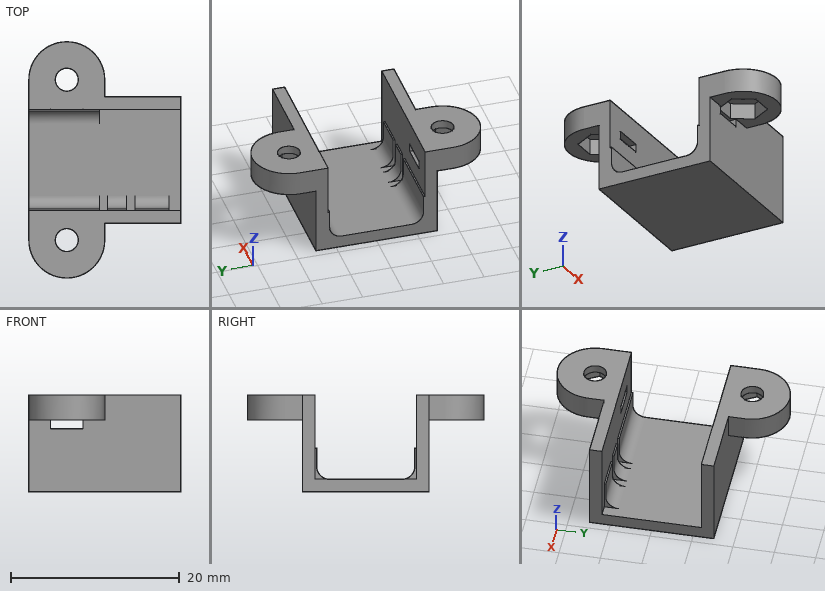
import cadquery as cq
import math

length = 18.0
overall_width = 28.0
height = 11.5
body_width = 15.0
wall = 1.5
floor = 1.5
inner_half = body_width / 2 - wall

ear_width = 9.02
ear_thickness = 3.0
ear_radius = ear_width / 2
ear_center_y = overall_width / 2 - ear_radius
ear_bottom = height - ear_thickness
hole_diameter = 2.7

slot_length = 3.8
slot_start = ear_radius - slot_length / 2
slot_height = 1.0

pocket_roof = 1.0
pocket_depth = ear_thickness - pocket_roof
pocket_across_flats = 5.0
pocket_across_corners = pocket_across_flats / math.cos(math.radians(30))

pad_rise = 0.2
pad_top = 5.18
pad_fillet = 1.5
end_pad = (0, 8.4)
pads_by_side = {
    1: [end_pad],
    -1: [end_pad, (9.35, 11.6), (12.57, 16.6)],
}


def box(x_start, x_size, y_size, z_start, z_size):
    """Box centred on Y, placed by its low X and Z faces."""
    return (
        cq.Workplane("XY")
        .box(x_size, y_size, z_size, centered=(False, True, False))
        .translate((x_start, 0, z_start))
    )


def ear(side):
    """Round-ended ear reaching from the inner wall face outward."""
    return (
        cq.Workplane("XY")
        .workplane(offset=ear_bottom)
        .moveTo(0, side * inner_half)
        .lineTo(0, side * ear_center_y)
        .threePointArc(
            (ear_radius, side * overall_width / 2),
            (ear_width, side * ear_center_y),
        )
        .lineTo(ear_width, side * inner_half)
        .close()
        .extrude(ear_thickness)
    )


def ear_hole(side):
    return (
        cq.Workplane("XY")
        .workplane(offset=ear_bottom)
        .center(ear_radius, side * ear_center_y)
        .circle(hole_diameter / 2)
        .extrude(ear_thickness)
    )


def nut_pocket(side):
    """Hexagon below the ear hole, with two corners pointing along X."""
    return (
        cq.Workplane("XY")
        .workplane(offset=ear_bottom)
        .center(ear_radius, side * ear_center_y)
        .polygon(6, pocket_across_corners)
        .extrude(pocket_depth)
    )


def pad(side, x_start, x_end):
    """Thin wall pad with a concave quarter-round foot."""
    face = inner_half - pad_rise
    arc_offset = pad_fillet * (1 - 0.5**0.5)
    return (
        cq.Workplane("YZ")
        .workplane(offset=x_start)
        .moveTo(side * inner_half, floor)
        .lineTo(side * inner_half, pad_top)
        .lineTo(side * face, pad_top)
        .lineTo(side * face, floor + pad_fillet)
        .threePointArc(
            (side * (face - arc_offset), floor + arc_offset),
            (side * (face - pad_fillet), floor),
        )
        .close()
        .extrude(x_end - x_start)
    )


result = box(0, length, body_width, 0, height)
result = result.cut(box(0, length, 2 * inner_half, floor, height - floor))

for side, pads in pads_by_side.items():
    result = result.union(ear(side)).cut(ear_hole(side)).cut(nut_pocket(side))
    for x_start, x_end in pads:
        result = result.union(pad(side, x_start, x_end))

result = result.cut(
    box(slot_start, slot_length, body_width, ear_bottom - slot_height, slot_height)
)